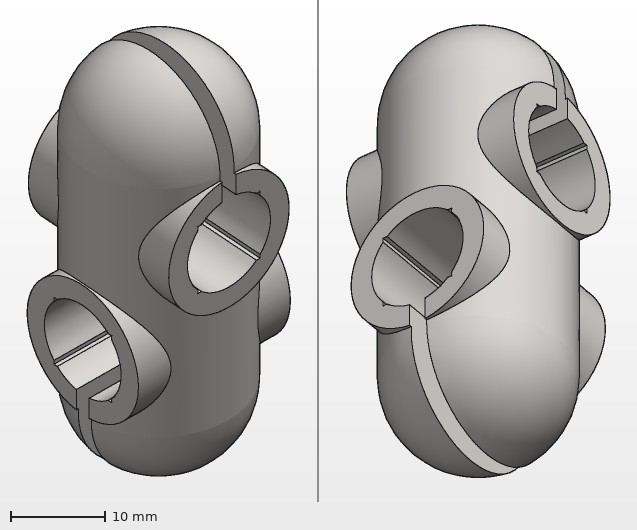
import cadquery as cq
import math

overall_length = 54.9
body_diameter = 21.5
boss_diameter = 17.45
boss_length = 22.0
bore_diameter = 12.0
bore_square = 9.0
slit_width = 2.05
bore_spacing = 15.0

body_radius = body_diameter / 2
tip_loss = body_radius - math.sqrt(body_radius**2 - (slit_width / 2) ** 2)
half_length = overall_length / 2 + tip_loss
cut_length = 2 * boss_length


def clamp_plane(axis, height):
    """Plane across the given rod axis, centred on the body; local y is up."""
    if axis == "X":
        normal, across = (1, 0, 0), (0, 1, 0)
    else:
        normal, across = (0, -1, 0), (1, 0, 0)
    return cq.Plane(origin=(0, 0, height), xDir=across, normal=normal)


def make_body():
    """Cylinder along Z with a hemisphere at each end."""
    straight_half = half_length - body_radius
    body = cq.Workplane("XY").circle(body_radius).extrude(straight_half, both=True)
    for end in (-1, 1):
        ball = cq.Workplane("XY").sphere(body_radius)
        body = body.union(ball.translate((0, 0, end * straight_half)))
    return body


def make_boss(plane):
    return cq.Workplane(plane).circle(boss_diameter / 2).extrude(boss_length / 2, both=True)


def make_bore(plane, slit_direction):
    """Grooved rod bore with a slit opening through the nearer body end."""
    bore = cq.Workplane(plane).circle(bore_diameter / 2).extrude(cut_length / 2, both=True)
    grooves = cq.Workplane(plane).rect(bore_square, bore_square).extrude(cut_length / 2, both=True)
    slit = (
        cq.Workplane(plane)
        .center(0, slit_direction * half_length / 2)
        .rect(slit_width, half_length)
        .extrude(cut_length / 2, both=True)
    )
    return bore.union(grooves).union(slit)


clamps = [
    (clamp_plane("X", bore_spacing / 2), 1),
    (clamp_plane("Y", -bore_spacing / 2), -1),
]

result = make_body()
for plane, _ in clamps:
    result = result.union(make_boss(plane))
for plane, slit_direction in clamps:
    result = result.cut(make_bore(plane, slit_direction))